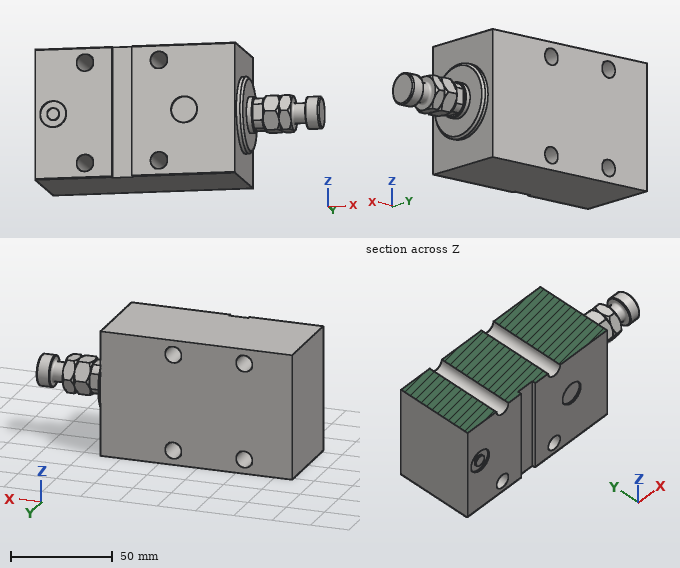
import cadquery as cq
import math

block_length = 100.0
block_depth = 45.0
block_height = 65.0
front_y = -block_depth / 2
edge_chamfer = 0.5

bolt_hole_diameter = 8.5
bolt_hole_columns = (25.0, 62.0)
bolt_hole_z = 25.0

keyway_width = 10.0
keyway_depth = 2.0
keyway_start = (sum(bolt_hole_columns) - keyway_width) / 2

port_diameter = 13.0
port_depth = 1.0
port_stub_diameter = 6.0
rear_port_x = 9.0
front_port_x = 74.5

flange_diameter = 38.0
flange_length = 3.0
flange_rim_chamfer = 1.2

collar_diameter = 18.0
collar_length = 3.0
collar_chamfer = 0.5
square_across_flats = 15.0
square_corner_diameter = collar_diameter - 2 * collar_chamfer
square_length = 5.0
square_end_chamfer = 0.4

hex_across_flats = 17.0
hex_across_corners = hex_across_flats / math.cos(math.pi / 6)
hex_face_diameter = hex_across_flats
nut_thickness = 8.0
thread_diameter = 10.0
screw_hex_thickness = 6.0
neck_diameter = 10.0
neck_length = 7.0
neck_fillet = 1.0
head_diameter = 16.0
head_length = 7.0
head_inner_chamfer = 0.4
head_outer_chamfer = 0.7

flange_end = block_length + flange_length
collar_end = flange_end + collar_length
rod_end = collar_end + square_length
nut_end = rod_end + nut_thickness
screw_hex_end = nut_end + screw_hex_thickness
neck_end = screw_hex_end + neck_length


def axial_plane(x):
    """Plane normal to the rod axis: local x along +Y, local y along +Z."""
    return cq.Workplane("YZ", origin=(x, 0, 0))


def axial_disc(x, diameter, length):
    return axial_plane(x).circle(diameter / 2).extrude(length)


def front_cylinders(points, diameter, depth):
    """Cylinders running in +Y from the front face at the given (x, z) points."""
    plane = cq.Workplane("XZ", origin=(0, front_y, 0))
    return plane.pushPoints(points).circle(diameter / 2).extrude(-depth)


def make_housing():
    block = cq.Workplane("XY").box(block_length, block_depth, block_height, centered=(False, True, True))
    block = block.edges("|X and <Y").chamfer(edge_chamfer)

    keyway = (
        cq.Workplane("XY", origin=(keyway_start, front_y, 0))
        .box(keyway_width, keyway_depth, block_height, centered=(False, False, True))
    )
    bolt_points = [(x, z) for x in bolt_hole_columns for z in (-bolt_hole_z, bolt_hole_z)]
    bolt_holes = front_cylinders(bolt_points, bolt_hole_diameter, block_depth)
    ports = front_cylinders([(rear_port_x, 0), (front_port_x, 0)], port_diameter, port_depth)
    port_stub = front_cylinders([(rear_port_x, 0)], port_stub_diameter, port_depth)

    flange = axial_disc(block_length, flange_diameter, flange_length)
    flange = flange.faces(">X").chamfer(flange_rim_chamfer)
    return block.union(flange).cut(keyway).cut(bolt_holes).cut(ports.cut(port_stub))


def make_piston_rod():
    collar = axial_disc(flange_end, collar_diameter, collar_length)
    collar = collar.faces(">X").chamfer(collar_chamfer)

    square_end = axial_disc(collar_end, square_corner_diameter, square_length)
    square_end = square_end.faces(">X").chamfer(square_end_chamfer)
    flats = axial_plane(collar_end).rect(square_across_flats, square_across_flats).extrude(square_length)
    return collar.union(square_end.intersect(flats))


def make_hexagon(x, thickness):
    """Hexagon with flats facing +Z and -Z and its corners turned down at both ends."""
    hexagon = axial_plane(x).polygon(6, hex_across_corners).extrude(thickness)
    corner_chamfer = (hex_across_corners - hex_face_diameter) / 2
    turned = axial_disc(x, hex_across_corners, thickness).faces("<X or >X").chamfer(corner_chamfer)
    return hexagon.intersect(turned)


def make_lock_nut():
    return make_hexagon(rod_end, nut_thickness).cut(axial_disc(rod_end, thread_diameter, nut_thickness))


def make_head_screw():
    stud = axial_disc(rod_end, thread_diameter, nut_thickness)
    hexagon = make_hexagon(nut_end, screw_hex_thickness)

    neck_radius = neck_diameter / 2
    fillet_radius = neck_radius + neck_fillet
    neck = (
        cq.Workplane("XY")
        .moveTo(screw_hex_end, 0)
        .lineTo(screw_hex_end, fillet_radius)
        .radiusArc((screw_hex_end + neck_fillet, neck_radius), -neck_fillet)
        .lineTo(neck_end - neck_fillet, neck_radius)
        .radiusArc((neck_end, fillet_radius), -neck_fillet)
        .lineTo(neck_end, 0)
        .close()
        .revolve(360, (0, 0, 0), (1, 0, 0))
    )

    head = axial_disc(neck_end, head_diameter, head_length)
    head = head.faces("<X").chamfer(head_inner_chamfer)
    head = head.faces(">X").chamfer(head_outer_chamfer)
    return stud.union(hexagon).union(neck).union(head)


housing = make_housing()
piston_rod = make_piston_rod()
lock_nut = make_lock_nut()
head_screw = make_head_screw()

result = cq.Compound.makeCompound([housing.val(), piston_rod.val(), lock_nut.val(), head_screw.val()])